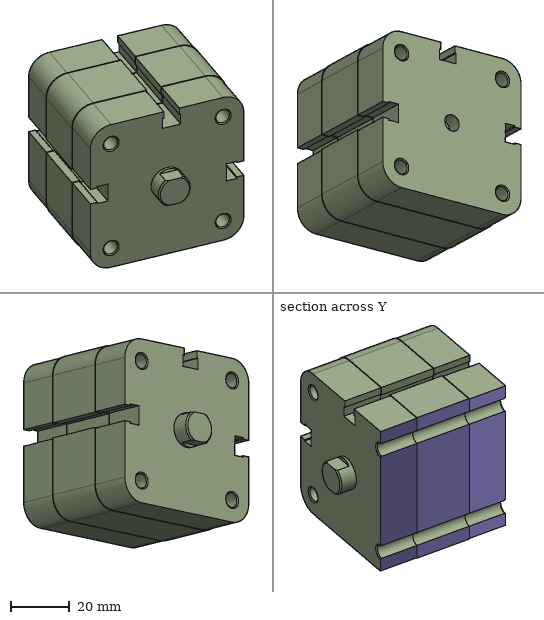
import cadquery as cq


BARREL_SIDE = 58.0
BARREL_LENGTH = 21.35
CAP_LENGTH = 14.85
CAP_INSET = 0.25
BOLT_SPACING = 42.0
BOLT_HOLE_DIA = 5.1
BOLT_COUNTERSINK_DIA = 6.0
LOCATING_HOLE_DIA = 6.0
LOCATING_HOLE_DEPTH = 5.8

SLOT_MOUTH = 5.35
SLOT_BASE = 6.4
SLOT_DEPTH = 6.55
SLOT_LIP = 3.1
SLOT_OFFSET = 1.7
SLOT_ANGLES = (-90, 0, 90)

ROD_DIA = 12.0
ROD_LENGTH = 6.45
ROD_CHAMFER = 0.5
FLATS_WIDTH = 10.0
FLATS_START = 1.3
FLATS_WALL_RUN = 0.3

BARREL_START = CAP_LENGTH
FRONT_CAP_START = BARREL_START + BARREL_LENGTH
ROD_START = FRONT_CAP_START + CAP_LENGTH


def section_plane(x):
    """Plane across the cylinder axis: local x is Y, local y is Z, normal is +X."""
    return cq.Workplane("YZ", origin=(x, 0, 0))


def slot_cutter(start, length, inset):
    """T-shaped slot in the +Z side; its walls stand back by the inset."""
    half_mouth = SLOT_MOUTH / 2 + inset
    half_base = SLOT_BASE / 2 + inset
    side = BARREL_SIDE / 2
    floor = side - SLOT_DEPTH - inset
    lip = side - SLOT_LIP + inset
    return (
        section_plane(start)
        .center(SLOT_OFFSET, 0)
        .moveTo(-half_mouth, side)
        .lineTo(-half_mouth, lip)
        .lineTo(-half_base, lip)
        .lineTo(-half_base, floor)
        .lineTo(half_base, floor)
        .lineTo(half_base, lip)
        .lineTo(half_mouth, lip)
        .lineTo(half_mouth, side)
        .close()
        .extrude(length)
    )


def bolt_points(x):
    """Workplane at x holding the four bolt hole centres."""
    return section_plane(x).rect(BOLT_SPACING, BOLT_SPACING, forConstruction=True).vertices()


def slotted_block(start, length, inset):
    """Rounded square block with three sensor slots and four bolt holes."""
    side = BARREL_SIDE - 2 * inset
    corner_radius = (side - BOLT_SPACING) / 2
    block = section_plane(start).rect(side, side).extrude(length).edges("|X").fillet(corner_radius)
    slot = slot_cutter(start, length, inset)
    for angle in SLOT_ANGLES:
        block = block.cut(slot.rotate((0, 0, 0), (1, 0, 0), angle))
    return block.cut(bolt_points(start).circle(BOLT_HOLE_DIA / 2).extrude(length))


def end_cap(start, outer_face):
    """End cap whose bolt holes are countersunk in its outer face ("<X" or ">X")."""
    cap = slotted_block(start, CAP_LENGTH, CAP_INSET)
    countersink = (BOLT_COUNTERSINK_DIA - BOLT_HOLE_DIA) / 2
    hole_rims = cap.faces(outer_face).edges(cq.selectors.RadiusNthSelector(0))
    return hole_rims.chamfer(countersink)


def make_rod():
    """Chamfered rod end with two opposite wrench flats facing +Z and -Z."""
    rod = section_plane(ROD_START).circle(ROD_DIA / 2).extrude(ROD_LENGTH)
    rod = rod.faces(">X").edges().chamfer(ROD_CHAMFER)
    foot = ROD_START + FLATS_START
    rod_end = ROD_START + ROD_LENGTH
    flat_height = FLATS_WIDTH / 2
    rod_top = ROD_DIA / 2
    cutter = (
        cq.Workplane("XZ")
        .moveTo(foot, flat_height)
        .lineTo(rod_end, flat_height)
        .lineTo(rod_end, rod_top)
        .lineTo(foot - FLATS_WALL_RUN, rod_top)
        .close()
        .extrude(rod_top, both=True)
    )
    return rod.cut(cutter).cut(cutter.mirror("XY"))


locating_hole = section_plane(0).circle(LOCATING_HOLE_DIA / 2).extrude(LOCATING_HOLE_DEPTH)
rear_cap = end_cap(0, "<X").cut(locating_hole)

barrel = slotted_block(BARREL_START, BARREL_LENGTH, 0)
front_cap = end_cap(FRONT_CAP_START, ">X")
rod = make_rod()

result = cq.Compound.makeCompound([rear_cap.val(), barrel.val(), front_cap.val(), rod.val()])